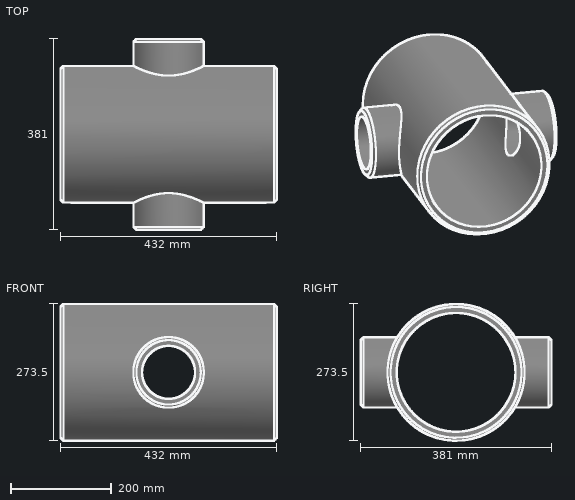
import cadquery as cq

run_length = 432.0
run_outer_diameter = 273.5
run_bore_diameter = 236.5

branch_span = 381.0
branch_outer_diameter = 140.8
branch_bore_diameter = 105.5

end_chamfer = 6.0


def centred_cylinder(plane, diameter, length):
    """Cylinder centred on the origin, with its axis normal to the plane."""
    return cq.Workplane(plane).circle(diameter / 2).extrude(length / 2, both=True)


run = centred_cylinder("YZ", run_outer_diameter, run_length).faces("<X or >X").chamfer(end_chamfer)
branches = centred_cylinder("XZ", branch_outer_diameter, branch_span).faces("<Y or >Y").chamfer(end_chamfer)

run_bore = centred_cylinder("YZ", run_bore_diameter, run_length)
branch_bore = centred_cylinder("XZ", branch_bore_diameter, branch_span)

result = run.union(branches).cut(run_bore).cut(branch_bore)